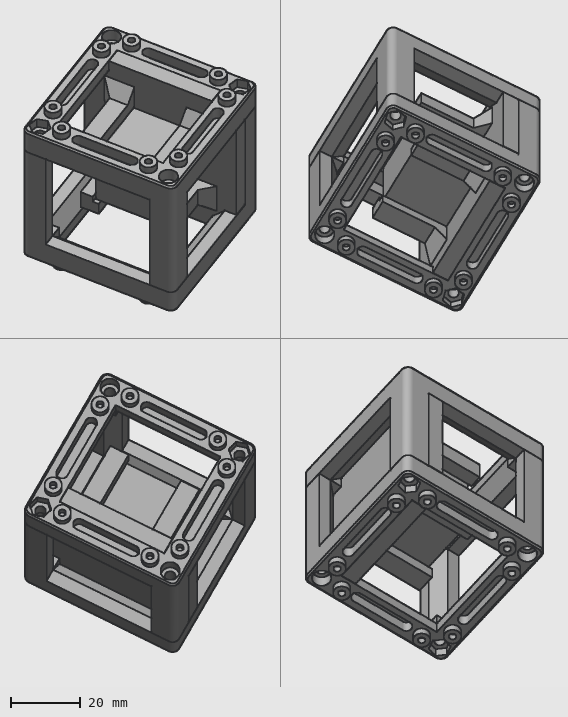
import cadquery as cq

CUBE_SIZE = 49.8
HALF = CUBE_SIZE / 2
WINDOW = 34.0
HALF_WINDOW = WINDOW / 2
BAR = HALF - HALF_WINDOW
CORNER_RADIUS = 2.25
RIM_CHAMFER = 0.55
BAR_CHAMFER = 4.0

STUD_DIAMETER = 4.95
STUD_HEIGHT = 2.35
STUD_BORE = 2.05
STUD_SPACING = 28.45
BAR_CENTRE = 20.55
SLOT_LENGTH = 21.0
SLOT_WIDTH = 3.4
SLOT_DEPTH = 4.0

BOLT_OFFSET = 21.05
BOLT_HOLE = 3.1
HEAD_DIAMETER = 5.5
HEAD_DEPTH = 4.0
NUT_ACROSS_FLATS = 5.5
NUT_DEPTH = 3.1
NUT_TURN = 15.0

OPTIC_SIZE = 20.0
OPTIC_GAP = 0.45
INSERT_LIFT = 0.1
PLATE_THICKNESS = 5.0
PLATE_FRONT = HALF_WINDOW - PLATE_THICKNESS
PLATE_ARM_WIDTH = 33.8
PLATE_CENTRE_WIDTH = 2 * (HALF - BAR_CHAMFER)
CLAW_OUTER = 14.45
CLAW_INNER = 8.5
CLAW_LENGTH = 21.0
CLAW_FLARE = 3.9


def bevel_diamond(workplane):
    """A square standing on its corner, whose sides lie in the bevels of the four bars around it."""
    reach = HALF + HALF_WINDOW - BAR_CHAMFER
    return workplane.polyline([(reach, 0), (0, reach), (-reach, 0), (0, -reach)]).close()


def cavity():
    """Square windows along the three axes, and the bevels on the inward edges of the bars."""
    space = cq.Workplane("XY")
    for plane in ("XY", "YZ", "XZ"):
        window = cq.Workplane(plane).rect(WINDOW, WINDOW).extrude(HALF, both=True)
        bevels = bevel_diamond(cq.Workplane(plane)).extrude(HALF_WINDOW, both=True)
        space = space.union(window).union(bevels)
    return space


def half_blank():
    """A ring with posts on two opposite corners, rounded and bevelled on the outside."""
    envelope = (
        cq.Workplane("XY")
        .box(CUBE_SIZE, CUBE_SIZE, CUBE_SIZE)
        .edges("|Z")
        .fillet(CORNER_RADIUS)
        .faces("<Z or >Z")
        .chamfer(RIM_CHAMFER)
    )
    post_centre = HALF - BAR / 2
    region = (
        cq.Workplane("XY", origin=(0, 0, -HALF))
        .rect(CUBE_SIZE, CUBE_SIZE)
        .extrude(BAR)
        .pushPoints([(-post_centre, -post_centre), (post_centre, post_centre)])
        .rect(BAR, BAR)
        .extrude(HALF + HALF_WINDOW)
    )
    return envelope.intersect(region).cut(cavity())


def frame_half():
    """The lower half, with its outer face at -Z and its posts on the -X-Y and +X+Y corners."""
    half = half_blank()
    outer_face = cq.Workplane("XY", origin=(0, 0, -HALF))
    stud_end = cq.Workplane("XY", origin=(0, 0, -HALF - STUD_HEIGHT))

    for turn in (0, 90):
        along_bars = outer_face.transformed(rotate=(0, 0, turn))
        slots = (
            along_bars.pushPoints([(0, -BAR_CENTRE), (0, BAR_CENTRE)])
            .slot2D(SLOT_LENGTH, SLOT_WIDTH)
            .extrude(SLOT_DEPTH)
        )
        studs = (
            stud_end.transformed(rotate=(0, 0, turn))
            .rect(STUD_SPACING, 2 * BAR_CENTRE, forConstruction=True)
            .vertices()
            .circle(STUD_DIAMETER / 2)
            .circle(STUD_BORE / 2)
            .extrude(STUD_HEIGHT)
        )
        half = half.cut(slots).union(studs)

    post_corners = [(-BOLT_OFFSET, -BOLT_OFFSET), (BOLT_OFFSET, BOLT_OFFSET)]
    open_corners = [(-BOLT_OFFSET, BOLT_OFFSET), (BOLT_OFFSET, -BOLT_OFFSET)]
    bolts = outer_face.pushPoints(post_corners + open_corners).circle(BOLT_HOLE / 2).extrude(CUBE_SIZE)
    heads = outer_face.pushPoints(post_corners).circle(HEAD_DIAMETER / 2).extrude(HEAD_DEPTH)
    half = half.cut(bolts).cut(heads)
    nut = cq.Workplane("XY").polygon(6, NUT_ACROSS_FLATS, circumscribed=True).extrude(NUT_DEPTH)
    nut = nut.rotate((0, 0, 0), (0, 0, 1), NUT_TURN)
    for x, y in open_corners:
        half = half.cut(nut.translate((x, y, -HALF)))
    return half


def insert_plane(y):
    """A workplane facing -Y, centred on the insert's axis."""
    return cq.Workplane("XZ", origin=(0, y, INSERT_LIFT))


def insert_plate():
    """Cross-shaped plate reaching out through four windows and filling the corners up to the bevels."""
    plate_back = cq.Workplane("XZ", origin=(0, HALF_WINDOW, 0))
    upright = plate_back.rect(PLATE_ARM_WIDTH, CUBE_SIZE).extrude(PLATE_THICKNESS)
    crossbar = insert_plane(HALF_WINDOW).rect(CUBE_SIZE, PLATE_ARM_WIDTH).extrude(PLATE_THICKNESS)
    cross = upright.union(crossbar)
    square = plate_back.rect(PLATE_CENTRE_WIDTH, PLATE_CENTRE_WIDTH).extrude(PLATE_THICKNESS)
    corners = square.intersect(bevel_diamond(plate_back).extrude(PLATE_THICKNESS))
    return cross.union(corners)


def claws():
    """Four claws, each an L in section and flared at its root."""
    plate_front = insert_plane(PLATE_FRONT)
    claw_width = 2 * CLAW_OUTER
    root_width = claw_width + 2 * CLAW_FLARE
    block = plate_front.rect(claw_width, claw_width).extrude(CLAW_LENGTH)
    block = block.union(plate_front.rect(root_width, root_width).extrude(CLAW_FLARE, taper=45))

    passage = 2 * CLAW_INNER
    pocket = OPTIC_SIZE + 2 * OPTIC_GAP
    for width, height in ((passage, root_width), (root_width, passage), (pocket, pocket)):
        block = block.cut(plate_front.rect(width, height).extrude(CLAW_LENGTH))
    return block


def optic_insert():
    """Plate and claws in one piece."""
    return insert_plate().union(claws())


def optic():
    """Plain cube standing on the front of the insert's plate."""
    return insert_plane(PLATE_FRONT).rect(OPTIC_SIZE, OPTIC_SIZE).extrude(OPTIC_SIZE)


frame_halves = [frame_half().rotate((0, 0, 0), (1, 0, 0), turn).val() for turn in (0, 180)]
cube_insert = optic_insert()
cube_optic = optic()

result = cq.Compound.makeCompound([*frame_halves, cube_insert.val(), cube_optic.val()])